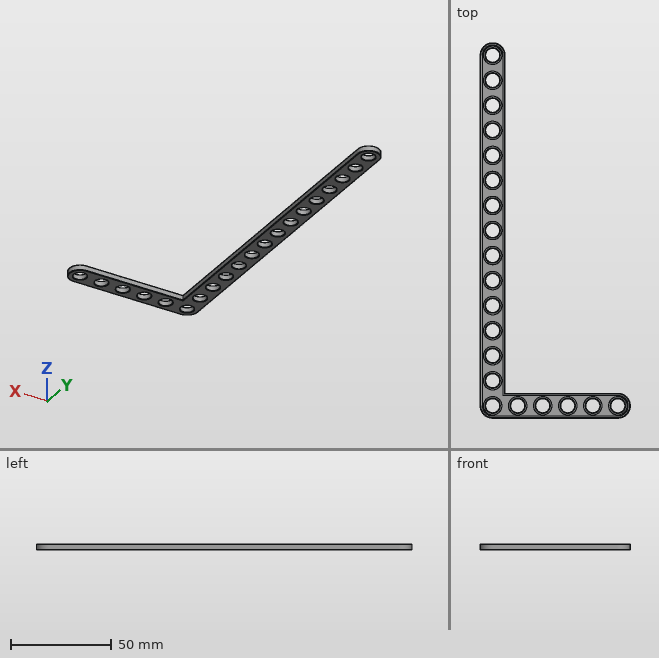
import cadquery as cq
import math

pitch = 12.5
thickness = pitch / 4
long_arm_holes = 15
short_arm_holes = 6
hole_diameter = 7.0
ring_diameter = 9.2
edge_chamfer = 0.3
recess_depth = 0.2

rim_width = (ring_diameter - hole_diameter) / 2
short_arm_length = (short_arm_holes - 1) * pitch
long_arm_length = (long_arm_holes - 1) * pitch

hole_centres = [(i * pitch, 0) for i in range(short_arm_holes)]
hole_centres += [(0, i * pitch) for i in range(1, long_arm_holes)]


def l_outline(base_z, half_width):
    """Closed L outline at a constant distance from the two arm centre lines."""
    r = half_width
    diagonal = r * math.cos(math.radians(45))
    return (
        cq.Workplane("XY", origin=(0, 0, base_z))
        .moveTo(0, -r)
        .lineTo(short_arm_length, -r)
        .threePointArc((short_arm_length + r, 0), (short_arm_length, r))
        .lineTo(r, r)
        .lineTo(r, long_arm_length)
        .threePointArc((0, long_arm_length + r), (-r, long_arm_length))
        .lineTo(-r, 0)
        .threePointArc((-diagonal, -diagonal), (0, -r))
        .close()
    )


def discs_at_holes(base_z, diameter, height):
    """One cylinder on every hole centre."""
    return (
        cq.Workplane("XY", origin=(0, 0, base_z))
        .pushPoints(hole_centres)
        .circle(diameter / 2)
        .extrude(height)
    )


plate = l_outline(0, pitch / 2).extrude(thickness)
plate = plate.cut(discs_at_holes(0, hole_diameter, thickness))

plate = plate.faces("<Z or >Z").edges().chamfer(edge_chamfer)

recess_floor = thickness - recess_depth
recess = l_outline(recess_floor, pitch / 2 - rim_width).extrude(recess_depth)
recess = recess.cut(discs_at_holes(recess_floor, ring_diameter, recess_depth))
result = plate.cut(recess)